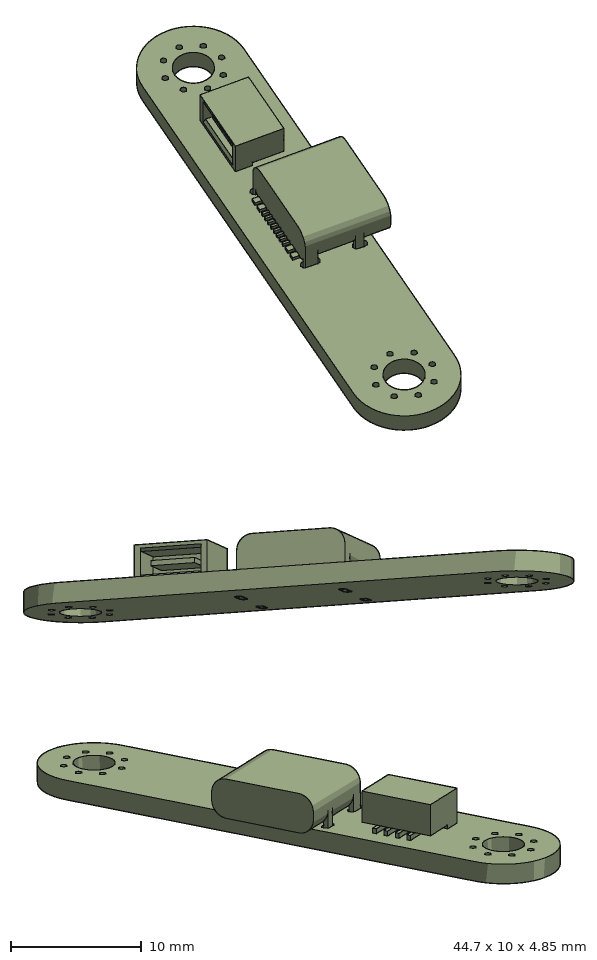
import cadquery as cq

BOARD_LENGTH = 44.7
BOARD_WIDTH = 8.7
BOARD_THICKNESS = 1.6
MOUNT_HOLE_DIAMETER = 3.2
VIA_DIAMETER = 0.5
VIA_RING_RADIUS = 2.4
VIA_COUNT = 8
MOUNT_X = (BOARD_LENGTH - BOARD_WIDTH) / 2

TOTAL_WIDTH_Y = 10.0
TOTAL_HEIGHT = 4.85
SHELL_WIDTH = 8.95
SHELL_DEPTH = 7.35
SHELL_CORNER_RADIUS = 1.3
SHELL_CLEARANCE = 0.05
SHELL_FRONT_Y = TOTAL_WIDTH_Y - BOARD_WIDTH / 2
SHELL_BACK_Y = SHELL_FRONT_Y - SHELL_DEPTH
SHELL_BOTTOM_Z = BOARD_THICKNESS + SHELL_CLEARANCE

LEG_THICKNESS = 0.4
LEG_TOP_Z = SHELL_BOTTOM_Z + SHELL_CORNER_RADIUS
LEG_X = (SHELL_WIDTH - LEG_THICKNESS) / 2
FRONT_LEG_LENGTH = 0.7
FRONT_LEG_Y = 3.0
BACK_LEG_LENGTH = 1.07
BACK_LEG_Y = SHELL_BACK_Y + BACK_LEG_LENGTH / 2

SLOT_WIDTH = 0.65
SLOT_X = 4.3
FRONT_SLOT_LENGTH = 1.2
FRONT_SLOT_Y = 3.1
BACK_SLOT_LENGTH = 1.6
BACK_SLOT_Y = -1.15

TAIL_REACH = 0.6
TAIL_UNDERLAP = 0.45
TAIL_HEIGHT = 0.25
POWER_TAIL_WIDTH = 0.5
POWER_TAIL_OFFSETS = (2.4, 3.2)
SIGNAL_TAIL_WIDTH = 0.2
SIGNAL_TAIL_COUNT = 8
SIGNAL_TAIL_SPAN = 3.5
SIGNAL_TAIL_PITCH = SIGNAL_TAIL_SPAN / (SIGNAL_TAIL_COUNT - 1)

HEADER_X = -9.75
HEADER_WIDTH = 6.05
HEADER_DEPTH = 4.15
HEADER_FRONT_Y = -2.05
HEADER_BACK_Y = HEADER_FRONT_Y + HEADER_DEPTH
HEADER_CLEARANCE = 0.1
HEADER_BOTTOM_Z = BOARD_THICKNESS + HEADER_CLEARANCE
HEADER_HEIGHT = 2.85
HEADER_MIDDLE_Z = HEADER_BOTTOM_Z + HEADER_HEIGHT / 2

CAVITY_WIDTH = 5.0
CAVITY_HEIGHT = 2.3
CAVITY_DEPTH = 2.7
MOUTH_BEVEL = 0.22
TONGUE_WIDTH = 3.6
TONGUE_HEIGHT = 0.4
TONGUE_LENGTH = 2.25

PIN_COUNT = 4
PIN_SPAN = 3.0
PIN_PITCH = PIN_SPAN / (PIN_COUNT - 1)
PIN_WIDTH = 0.3
PIN_HEIGHT = 0.4
PIN_REACH = 0.7
PIN_RECESS_DEPTH = 2.7


def box(x_range, y_range, z_range):
    """Axis-aligned block between the given (low, high) limits."""
    size = [high - low for low, high in (x_range, y_range, z_range)]
    corner = (x_range[0], y_range[0], z_range[0])
    return cq.Workplane("XY").box(*size, centered=False).translate(corner)


def around(middle, size):
    """Limits of a stretch of the given size centred on a coordinate."""
    return (middle - size / 2, middle + size / 2)


def make_board():
    board = cq.Workplane("XY").slot2D(BOARD_LENGTH, BOARD_WIDTH).extrude(BOARD_THICKNESS)
    mounts = [(-MOUNT_X, 0), (MOUNT_X, 0)]
    board = board.faces(">Z").workplane().pushPoints(mounts).hole(MOUNT_HOLE_DIAMETER)
    for x, y in mounts:
        ring = cq.Workplane("XY").center(x, y).polarArray(VIA_RING_RADIUS, 0, 360, VIA_COUNT)
        board = board.cut(ring.circle(VIA_DIAMETER / 2).extrude(BOARD_THICKNESS))
    for y, length in ((FRONT_SLOT_Y, FRONT_SLOT_LENGTH), (BACK_SLOT_Y, BACK_SLOT_LENGTH)):
        slots = cq.Workplane("XY").pushPoints([(-SLOT_X, y), (SLOT_X, y)])
        board = board.cut(slots.slot2D(length, SLOT_WIDTH, 90).extrude(BOARD_THICKNESS))
    return board


def make_usb_socket():
    socket = box(
        around(0, SHELL_WIDTH),
        (SHELL_BACK_Y, SHELL_FRONT_Y),
        (SHELL_BOTTOM_Z, TOTAL_HEIGHT),
    )
    socket = socket.edges("|Y").fillet(SHELL_CORNER_RADIUS)

    for x in (-LEG_X, LEG_X):
        for y, length in ((FRONT_LEG_Y, FRONT_LEG_LENGTH), (BACK_LEG_Y, BACK_LEG_LENGTH)):
            leg = box(around(x, LEG_THICKNESS), around(y, length), (0, LEG_TOP_Z))
            socket = socket.union(leg)

    first_signal = -SIGNAL_TAIL_SPAN / 2
    tails = []
    for i in range(SIGNAL_TAIL_COUNT):
        tails.append((first_signal + i * SIGNAL_TAIL_PITCH, SIGNAL_TAIL_WIDTH))
    for offset in POWER_TAIL_OFFSETS:
        tails += [(-offset, POWER_TAIL_WIDTH), (offset, POWER_TAIL_WIDTH)]
    for x, width in tails:
        tail = box(
            around(x, width),
            (SHELL_BACK_Y - TAIL_REACH, SHELL_BACK_Y + TAIL_UNDERLAP),
            (BOARD_THICKNESS, BOARD_THICKNESS + TAIL_HEIGHT),
        )
        socket = socket.union(tail)
    return socket


def make_header():
    header = box(
        around(HEADER_X, HEADER_WIDTH),
        (HEADER_FRONT_Y, HEADER_BACK_Y),
        (HEADER_BOTTOM_Z, HEADER_BOTTOM_Z + HEADER_HEIGHT),
    )

    mouth = CAVITY_HEIGHT / 2
    throat = mouth - MOUTH_BEVEL
    throat_y = HEADER_FRONT_Y + MOUTH_BEVEL
    cavity_back_y = HEADER_FRONT_Y + CAVITY_DEPTH
    cavity = (
        cq.Workplane("YZ", origin=(HEADER_X, 0, HEADER_MIDDLE_Z))
        .moveTo(HEADER_FRONT_Y, -mouth)
        .lineTo(throat_y, -throat)
        .lineTo(cavity_back_y, -throat)
        .lineTo(cavity_back_y, throat)
        .lineTo(throat_y, throat)
        .lineTo(HEADER_FRONT_Y, mouth)
        .close()
        .extrude(CAVITY_WIDTH / 2, both=True)
    )
    tongue = box(
        around(HEADER_X, TONGUE_WIDTH),
        (cavity_back_y - TONGUE_LENGTH, cavity_back_y),
        around(HEADER_MIDDLE_Z, TONGUE_HEIGHT),
    )
    header = header.cut(cavity).union(tongue)

    recess_y = HEADER_BACK_Y - PIN_RECESS_DEPTH
    pin_z = (BOARD_THICKNESS, BOARD_THICKNESS + PIN_HEIGHT)
    header = header.cut(box(around(HEADER_X, HEADER_WIDTH), (recess_y, HEADER_BACK_Y), pin_z))
    for i in range(PIN_COUNT):
        x = HEADER_X - PIN_SPAN / 2 + i * PIN_PITCH
        pin = box(around(x, PIN_WIDTH), (recess_y, HEADER_BACK_Y + PIN_REACH), pin_z)
        header = header.union(pin)
    return header


board = make_board()
usb_socket = make_usb_socket()
header = make_header()

result = cq.Compound.makeCompound([board.val(), usb_socket.val(), header.val()])